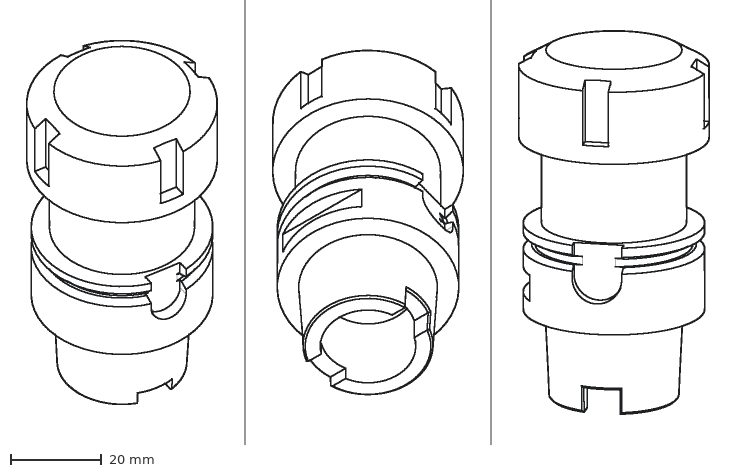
import cadquery as cq

TOTAL_HEIGHT = 79.55
FLANGE_BOTTOM = 20.05
FLANGE_TOP = 39.9
NUT_BOTTOM = 59.5
NUT_SHOULDER = 76.05

NUT_RADIUS = 42.0 / 2
NUT_FACE_RADIUS = 30.0 / 2
NECK_RADIUS = 32.0 / 2
FLANGE_RADIUS = 40.0 / 2
SHANK_TOP_RADIUS = 15.3
SHANK_END_RADIUS = 14.3
SHANK_END_CHAMFER = 0.5
BORE_RADIUS = 21.0 / 2

GROOVE_LOW = 34.9
GROOVE_HIGH = 36.8
GROOVE_FLANK_HEIGHT = 0.95
GROOVE_FLANK_INNER_RADIUS = 18.1
GROOVE_RADIUS = 17.35

NOTCH_COUNT = 4
NOTCH_WIDTH = 5.8
NOTCH_FLOOR_RADIUS = 18.0
NOTCH_BOTTOM = 63.6

KEYWAY_CENTER_Z = 32.6
KEYWAY_FLOOR = 16.95
LEFT_KEYWAY_WIDTH = 11.1
RIGHT_KEYWAY_WIDTH = 9.0

FLAT_FLOOR = 16.8
FLAT_BOTTOM = 24.1
FLAT_TOP = 30.0

LEFT_SLOT_WIDTH = 8.1
LEFT_SLOT_HEIGHT = 5.7
LEFT_SLOT_CHAMFER = 0.5
RIGHT_SLOT_WIDTH = 8.9
RIGHT_SLOT_HEIGHT = 3.5


def box(x_range, y_range, z_range):
    """Axis-aligned box given by its limits along each axis."""
    limits = (x_range, y_range, z_range)
    sizes = [high - low for low, high in limits]
    corner = tuple(low for low, _ in limits)
    return cq.Workplane("XY").box(*sizes, centered=False).translate(corner)


def turned_body():
    """Shank, grooved flange, neck and nut as one revolved profile."""
    profile = [
        (0, 0),
        (SHANK_END_RADIUS - SHANK_END_CHAMFER, 0),
        (SHANK_END_RADIUS, SHANK_END_CHAMFER),
        (SHANK_TOP_RADIUS, FLANGE_BOTTOM),
        (FLANGE_RADIUS, FLANGE_BOTTOM),
        (FLANGE_RADIUS, GROOVE_LOW - GROOVE_FLANK_HEIGHT),
        (GROOVE_FLANK_INNER_RADIUS, GROOVE_LOW),
        (GROOVE_RADIUS, GROOVE_LOW),
        (GROOVE_RADIUS, GROOVE_HIGH),
        (GROOVE_FLANK_INNER_RADIUS, GROOVE_HIGH),
        (FLANGE_RADIUS, GROOVE_HIGH + GROOVE_FLANK_HEIGHT),
        (FLANGE_RADIUS, FLANGE_TOP),
        (NECK_RADIUS, FLANGE_TOP),
        (NECK_RADIUS, NUT_BOTTOM),
        (NUT_RADIUS, NUT_BOTTOM),
        (NUT_RADIUS, NUT_SHOULDER),
        (NUT_FACE_RADIUS, TOTAL_HEIGHT),
        (0, TOTAL_HEIGHT),
    ]
    return cq.Workplane("XZ").polyline(profile).close().revolve(360, (0, 0), (0, 1))


def keyway(width, side):
    """Cutter for a keyway open at the flange top; side is -1 or +1 along X."""
    half = width / 2
    return (
        cq.Workplane("YZ", origin=(side * KEYWAY_FLOOR, 0, 0))
        .moveTo(-half, FLANGE_TOP)
        .lineTo(-half, KEYWAY_CENTER_Z)
        .threePointArc((0, KEYWAY_CENTER_Z - half), (half, KEYWAY_CENTER_Z))
        .lineTo(half, FLANGE_TOP)
        .close()
        .extrude(side * (FLANGE_RADIUS - KEYWAY_FLOOR))
    )


def cut_nut_notches(body):
    half = NOTCH_WIDTH / 2
    notch = box((NOTCH_FLOOR_RADIUS, NUT_RADIUS), (-half, half), (NOTCH_BOTTOM, TOTAL_HEIGHT))
    for index in range(NOTCH_COUNT):
        body = body.cut(notch.rotate((0, 0, 0), (0, 0, 1), index * 360 / NOTCH_COUNT))
    return body


def cut_shank_slots(body):
    """Drive slots on -X and +X; the -X slot has a chamfered outer rim."""
    left_half = LEFT_SLOT_WIDTH / 2
    left_slot = box((-FLANGE_RADIUS, 0), (-left_half, left_half), (0, LEFT_SLOT_HEIGHT))
    body = body.cut(left_slot)
    rim_zone = cq.selectors.BoxSelector(
        (-SHANK_TOP_RADIUS, -left_half - LEFT_SLOT_CHAMFER, SHANK_END_CHAMFER),
        (-(BORE_RADIUS + SHANK_END_RADIUS) / 2, left_half + LEFT_SLOT_CHAMFER,
         LEFT_SLOT_HEIGHT + LEFT_SLOT_CHAMFER),
    )
    body = body.edges(rim_zone).chamfer(LEFT_SLOT_CHAMFER)

    right_half = RIGHT_SLOT_WIDTH / 2
    right_slot = box((0, FLANGE_RADIUS), (-right_half, right_half), (0, RIGHT_SLOT_HEIGHT))
    return body.cut(right_slot)


flange_flat = box(
    (-FLANGE_RADIUS, FLANGE_RADIUS), (FLAT_FLOOR, FLANGE_RADIUS), (FLAT_BOTTOM, FLAT_TOP)
)
bore = cq.Workplane("XY").circle(BORE_RADIUS).extrude(FLANGE_BOTTOM)

result = turned_body().cut(bore)
result = cut_nut_notches(result)
result = result.cut(keyway(LEFT_KEYWAY_WIDTH, -1))
result = result.cut(keyway(RIGHT_KEYWAY_WIDTH, 1))
result = result.cut(flange_flat)
result = cut_shank_slots(result)